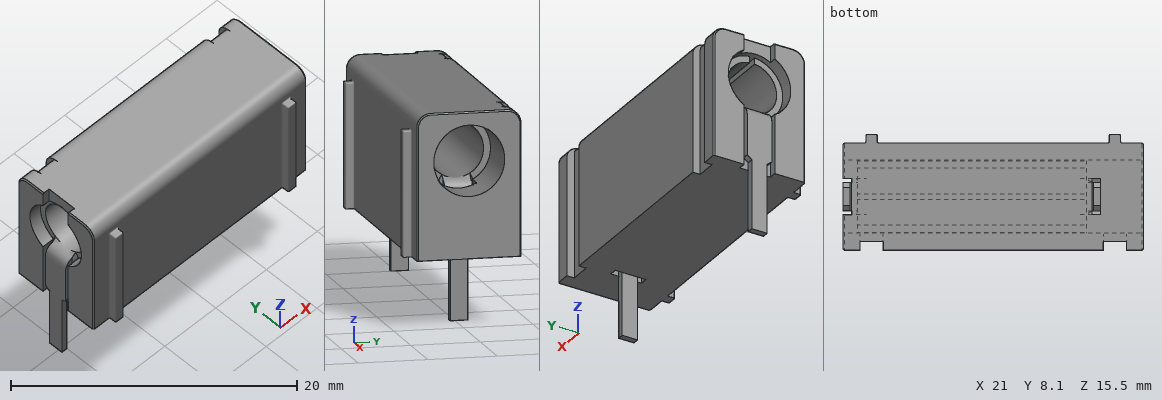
import cadquery as cq
import math

length = 21.0
width = 7.5
height = 10.5
top_edge_radius = 1.0
end_chamfer = 0.1

rib_positions = (2.0, 19.0)
rib_width = 0.8
rib_depth = 0.6
rib_height = 9.0
rib_edge_fillet = 0.1
rib_base_fillet = 0.1
groove_width = 2 * rib_width
groove_top_radius = 0.5

sheet = 0.5
slit_width = 0.4
tube_radius = 2.5
tube_inner_radius = tube_radius - sheet
tube_start = 1.0
contact_end = 18.0
contact_mid = contact_end / 2
tab_width = 2.0
bend_radius = 0.9
lead_width = 1.25
lead_drop = 5.0
shoulder_top = 0.85
shoulder_bottom = 0.55

bore_z = 7.0
tube_clearance = 0.05
bore_radius = tube_radius + tube_clearance

root_half_angle = math.asin(tab_width / 2 / tube_inner_radius)
slot_width = 2 * tube_radius * math.sin(root_half_angle)
slot_depth = 0.6
slot_mouth_radius = 1.0

bend_z = bore_z - tube_inner_radius - bend_radius
root_start = slot_depth


def make_cylinder(radius, start, end):
    """Cylinder on the bore axis between two X positions."""
    return cq.Workplane("YZ", origin=(start, 0, bore_z)).circle(radius).extrude(end - start)


def make_block():
    """Block with rounded long top edges and lightly chamfered end outlines."""
    block = cq.Workplane("XY").box(length, width, height, centered=(False, True, False))
    block = block.edges("|X and >Z").fillet(top_edge_radius)
    end_outlines = block.faces("<X or >X").edges("not <Z")
    return end_outlines.chamfer(end_chamfer)


def make_rib(x):
    """Upright rib with softened outer edges, rooted inside the block."""
    return (
        cq.Workplane("XY", origin=(x, -width / 2, 0))
        .box(rib_width, 2 * rib_depth, rib_height, centered=(True, True, False))
        .edges("(|Z and <Y) or (>Z and (not >Y))")
        .fillet(rib_edge_fillet)
    )


def add_rib(block, x):
    """Join a rib to the block and blend its foot into the block's face."""
    face_y = -width / 2
    reach = rib_width / 2 + rib_base_fillet
    foot_edges = cq.selectors.BoxSelector(
        (x - reach, face_y - rib_base_fillet / 2, rib_base_fillet),
        (x + reach, face_y + rib_base_fillet / 2, rib_height + rib_base_fillet),
    )
    return block.union(make_rib(x)).edges(foot_edges).fillet(rib_base_fillet)


def make_groove(x):
    """Groove cutter whose floor rolls over into the top face."""
    floor_y = width / 2 - rib_depth
    return (
        cq.Workplane("YZ", origin=(x - groove_width / 2, 0, 0))
        .moveTo(width / 2, 0)
        .lineTo(floor_y, 0)
        .lineTo(floor_y, height - groove_top_radius)
        .radiusArc((floor_y - groove_top_radius, height), -groove_top_radius)
        .lineTo(width / 2, height)
        .close()
        .extrude(groove_width)
    )


def make_slot_mouth():
    """Cutter that rounds the edge between the bore and the slot floor below it."""
    mouth_end = slot_depth + slot_mouth_radius
    ring = (
        cq.Workplane("XY", origin=(0, 0, bore_z))
        .moveTo(slot_depth, 0)
        .lineTo(slot_depth, -bore_radius - slot_mouth_radius)
        .radiusArc((mouth_end, -bore_radius), slot_mouth_radius)
        .lineTo(mouth_end, 0)
        .close()
        .revolve(360, (0, 0, 0), (1, 0, 0))
    )
    below_bore = cq.Workplane("XY").box(length, slot_width, bore_z, centered=(False, True, False))
    return ring.intersect(below_bore)


def make_lead_slot(slot_height):
    """Slot cutter for one lead, at the -X end of the contact."""
    slot = cq.Workplane("XY").box(slot_depth, slot_width, slot_height, centered=(False, True, False))
    return slot.union(make_slot_mouth())


def mirror_to_far_end(shape):
    """Copy of a near-end feature, mirrored to the other end of the contact."""
    return shape.mirror("YZ", (contact_mid, 0, 0))


def make_housing():
    """Block with ribs, grooves, the tube bore and a slot for each lead."""
    housing = make_block()
    for x in rib_positions:
        housing = add_rib(housing, x)
    for x in rib_positions:
        housing = housing.cut(make_groove(x))
    housing = housing.cut(make_cylinder(bore_radius, 0, length))
    housing = housing.cut(make_lead_slot(height))
    return housing.cut(mirror_to_far_end(make_lead_slot(bore_z)))


def make_tube():
    """Thin tube with a lengthwise slit along its top."""
    tube_end = contact_end - tube_start
    tube = make_cylinder(tube_radius, tube_start, tube_end)
    tube = tube.cut(make_cylinder(tube_inner_radius, tube_start, tube_end))
    slit = cq.Workplane("XY", origin=(0, 0, bore_z)).box(
        contact_end, slit_width, tube_radius, centered=(False, True, False)
    )
    return tube.cut(slit)


def make_lead():
    """Strip that leaves the root, bends down and narrows at a shoulder."""
    bend_top = bend_z + bend_radius
    strip = (
        cq.Workplane("XZ", origin=(0, tab_width / 2, 0))
        .moveTo(bend_radius, bend_top)
        .radiusArc((0, bend_z), -bend_radius)
        .lineTo(0, -lead_drop)
        .lineTo(sheet, -lead_drop)
        .lineTo(sheet, bend_z)
        .radiusArc((bend_radius, bend_top - sheet), bend_radius - sheet)
        .close()
        .extrude(tab_width)
    )
    half_tab = tab_width / 2
    half_lead = lead_width / 2
    outline = (
        cq.Workplane("YZ")
        .polyline([
            (-half_tab, bend_top),
            (-half_tab, shoulder_top),
            (-half_lead, shoulder_bottom),
            (-half_lead, -lead_drop),
            (half_lead, -lead_drop),
            (half_lead, shoulder_bottom),
            (half_tab, shoulder_top),
            (half_tab, bend_top),
        ])
        .close()
        .extrude(root_start)
    )
    return strip.intersect(outline)


def bend_height(radius):
    """Height at which a bend surface of the given radius meets the root."""
    return bend_z + math.sqrt(radius ** 2 - (bend_radius - root_start) ** 2)


def sector_point(radius, angle):
    """Point on a circle about the bore axis, at an angle from straight down."""
    return (radius * math.sin(angle), bore_z - radius * math.cos(angle))


def make_root():
    """Transition from the flat bent strip to a sector of the tube wall."""
    half_tab = tab_width / 2
    top = bend_height(bend_radius)
    bottom = bend_height(bend_radius - sheet)
    return (
        cq.Workplane("YZ", origin=(root_start, 0, 0))
        .moveTo(-half_tab, top)
        .lineTo(half_tab, top)
        .lineTo(half_tab, bottom)
        .lineTo(-half_tab, bottom)
        .close()
        .workplane(offset=tube_start - root_start)
        .moveTo(*sector_point(tube_inner_radius, -root_half_angle))
        .threePointArc(
            sector_point(tube_inner_radius, 0),
            sector_point(tube_inner_radius, root_half_angle),
        )
        .lineTo(*sector_point(tube_radius, root_half_angle))
        .threePointArc(
            sector_point(tube_radius, 0),
            sector_point(tube_radius, -root_half_angle),
        )
        .close()
        .loft(ruled=True)
    )


def make_contact():
    """Slit tube with a root and a bent lead at each end."""
    lead = make_lead().union(make_root())
    return make_tube().union(lead).union(mirror_to_far_end(lead))


housing = make_housing()
contact = make_contact()

result = cq.Compound.makeCompound([housing.val(), contact.val()])